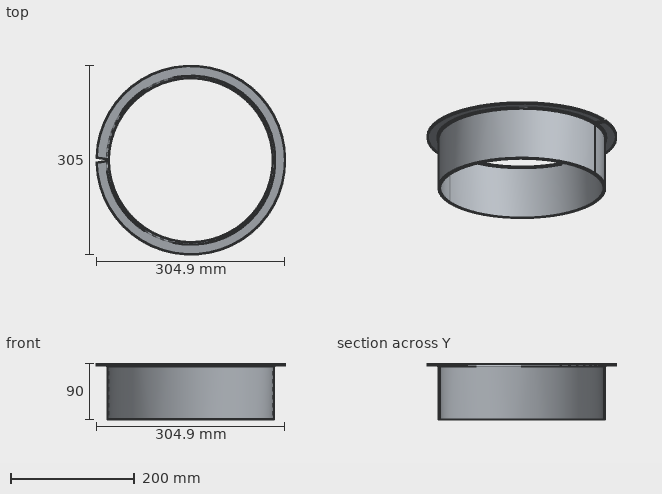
import cadquery as cq

flange_radius = 152.5
wall_radius = 134.8
height = 90.0
thickness = 2.5
inner_bend_radius = 1.8
bottom_chamfer = 1.0
slit_width = 0.5
notch_root_width = 3.0
notch_mouth_width = 8.0
notch_end_radius = 135.7

bore_radius = wall_radius - thickness
bend_center_radius = wall_radius + inner_bend_radius
bend_center_z = height - thickness - inner_bend_radius
outer_bend_radius = inner_bend_radius + thickness


def flanged_ring():
    """Revolve the thin wall and its outward-bent flange around Z."""
    profile = (
        cq.Workplane("XZ")
        .moveTo(bore_radius, 0)
        .lineTo(wall_radius - bottom_chamfer, 0)
        .lineTo(wall_radius, bottom_chamfer)
        .lineTo(wall_radius, bend_center_z)
        .radiusArc((bend_center_radius, height - thickness), inner_bend_radius)
        .lineTo(flange_radius, height - thickness)
        .lineTo(flange_radius, height)
        .lineTo(bend_center_radius, height)
        .radiusArc((bore_radius, bend_center_z), -outer_bend_radius)
        .close()
    )
    return profile.revolve(360, (0, 0, 0), (0, 1, 0))


def wall_slit():
    """Narrow full-height cut that opens the ring on its -X side."""
    return (
        cq.Workplane("XY")
        .center(-(bore_radius + flange_radius) / 2, 0)
        .rect(2 * (flange_radius - bore_radius), slit_width)
        .extrude(height)
    )


def flange_notch():
    """Tapered cut through the flange and the outside of the bend, widening to the rim."""
    taper = (notch_mouth_width - notch_root_width) / 2 / (flange_radius - bend_center_radius)
    cut_radius = flange_radius + thickness
    cut_half_width = notch_mouth_width / 2 + taper * thickness
    root_half_width = notch_root_width / 2
    return (
        cq.Workplane("XY")
        .workplane(offset=bend_center_z)
        .polyline([
            (-cut_radius, -cut_half_width),
            (-bend_center_radius, -root_half_width),
            (-notch_end_radius, -root_half_width),
            (-notch_end_radius, root_half_width),
            (-bend_center_radius, root_half_width),
            (-cut_radius, cut_half_width),
        ])
        .close()
        .extrude(height - bend_center_z)
    )


result = flanged_ring().cut(wall_slit()).cut(flange_notch())